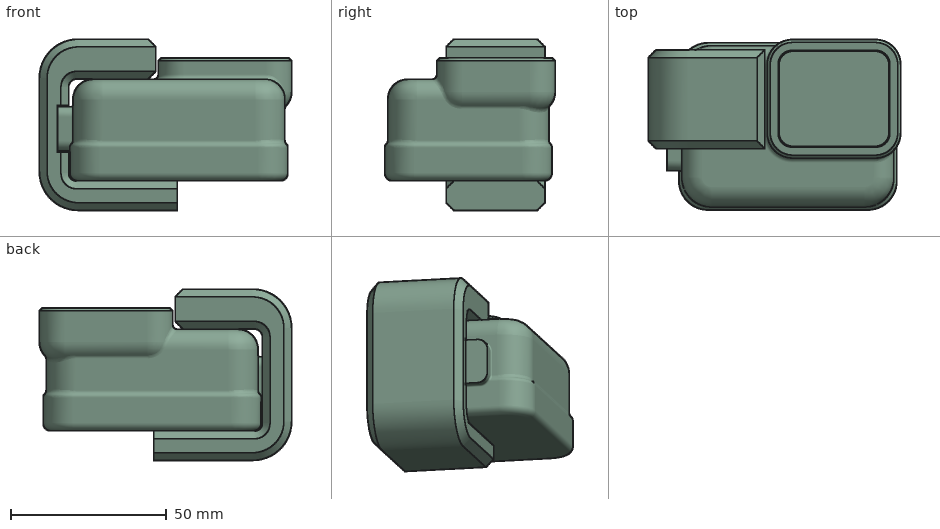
import cadquery as cq

overall_length = 81.1
overall_depth = 54.8

bracket_height = 55.1
bracket_width = 31.8
bracket_front = 19.7
wall_thickness = 9.5
top_arm_thickness = 12.9
top_arm_length = 37.5
bottom_arm_length = 44.35
bracket_outer_radius = 12.6
bracket_inner_radius = 2.5
bracket_chamfer = 2.5

wall_gap = 0.3
rim_length = 70.1
rim_depth = 53.8
rim_height = 12.25
rim_bottom_radius = 2.5
corner_radius = 9.5
blend_radius = 1.5
housing_inset = 1.0
housing_top_radius = 6.5

lens_length = 42.9
lens_depth = 38.1
lens_rise = 6.8
lens_height = 17.35
lens_corner_radius = 8.1
lens_bottom_radius = 6.5
lens_chamfer = 1.0
window_margin = 3.5
window_recess = 0.3

door_depth = 28.55
door_height = 14.2
door_bottom = 19.1
door_corner_radius = 3.2
door_reach = 3.8
door_fillet = 0.5
recess_floor_gap = 0.25
recess_side_gap = 0.5

seam_tolerance = 0.001

camera_bottom = wall_thickness
camera_top = bracket_height - top_arm_thickness
rim_left = wall_thickness + wall_gap
lens_left = overall_length - lens_length
lens_front = overall_depth - lens_depth
lens_top = camera_top + lens_rise
door_left = rim_left - door_reach
door_front = (rim_depth - door_depth) / 2


def block(left, front, bottom, length, depth, height):
    """Box placed by its low corner."""
    return cq.Workplane("XY").box(length, depth, height, centered=False).translate((left, front, bottom))


def door_block(left, length, gap):
    """Rounded bar along X with the door's outline, grown by a gap on every side."""
    bar = block(
        left, door_front - gap, door_bottom - gap,
        length, door_depth + 2 * gap, door_height + 2 * gap,
    )
    return bar.edges("|X").fillet(door_corner_radius + gap)


def join_blended(base, addition, radius):
    """Union of two shapes with a concave fillet along the seam where their surfaces meet."""
    joined = base.union(addition)

    def on_seam(edge):
        point = cq.Vertex.makeVertex(*edge.positionAt(0.5).toTuple())
        return all(
            min(face.distance(point) for face in shape.faces().vals()) < seam_tolerance
            for shape in (base, addition)
        )

    seam = [edge for edge in joined.edges().vals() if on_seam(edge)]
    return joined.newObject(seam).fillet(radius)


def bracket_outline():
    """C-shaped solid with rounded corners and square edges."""
    outer = block(0, bracket_front, 0, bottom_arm_length, bracket_width, bracket_height)
    outer = outer.edges("|Y and <X").fillet(bracket_outer_radius)
    opening = block(
        wall_thickness, bracket_front, wall_thickness,
        bottom_arm_length, bracket_width, camera_top - wall_thickness,
    )
    opening = opening.edges("|Y and <X").fillet(bracket_inner_radius)
    beyond_top_arm = block(
        top_arm_length, bracket_front, camera_top,
        bottom_arm_length, bracket_width, top_arm_thickness,
    )
    return outer.cut(opening).cut(beyond_top_arm)


def make_bracket():
    bracket = bracket_outline()
    side_edges = [
        edge
        for edge in bracket.faces("<Y or >Y").edges().vals()
        if edge.Center().x < top_arm_length - bracket_chamfer
    ]
    top_tip_edges = bracket.faces(">X[-2]").edges("|Y").vals()
    bracket = bracket.newObject(side_edges + top_tip_edges).chamfer(bracket_chamfer)
    return bracket.cut(door_block(door_left - recess_floor_gap, wall_thickness, recess_side_gap))


def make_rim():
    rim = block(rim_left, 0, camera_bottom, rim_length, rim_depth, rim_height)
    rim = rim.edges("|Z").fillet(corner_radius)
    rim = rim.faces("<Z").edges().fillet(rim_bottom_radius)
    return rim.faces(">Z").edges().fillet(blend_radius)


def make_housing():
    """Upper housing, standing inside the rim's outline."""
    housing_bottom = camera_bottom + rim_bottom_radius
    housing = block(
        rim_left + housing_inset, housing_inset, housing_bottom,
        rim_length - 2 * housing_inset, rim_depth - 2 * housing_inset, camera_top - housing_bottom,
    )
    housing = housing.edges("|Z").fillet(corner_radius)
    return housing.faces(">Z").edges().fillet(housing_top_radius)


def make_lens():
    """Lens block, which overhangs the housing at its +X and +Y sides."""
    lens = block(lens_left, lens_front, lens_top - lens_height, lens_length, lens_depth, lens_height)
    lens = lens.edges("|Z").fillet(lens_corner_radius)
    lens = lens.faces("<Z").edges().fillet(lens_bottom_radius)
    return lens.faces(">Z").edges().chamfer(lens_chamfer)


def make_window_recess():
    """Shallow recess in the lens top with 45 degree walls."""
    outline = (
        cq.Sketch()
        .rect(lens_length - 2 * window_margin, lens_depth - 2 * window_margin)
        .vertices()
        .fillet(lens_corner_radius - window_margin)
    )
    lens_center = (lens_left + lens_length / 2, lens_front + lens_depth / 2, lens_top)
    return cq.Workplane("XY", origin=lens_center).placeSketch(outline).extrude(-window_recess, taper=45)


def make_camera():
    camera = join_blended(make_rim(), make_housing(), blend_radius)
    camera = join_blended(camera, make_lens(), blend_radius)
    door = door_block(door_left, door_reach + corner_radius, 0)
    camera = join_blended(camera, door, door_fillet)
    return camera.cut(make_window_recess())


bracket = make_bracket()
camera = make_camera()
result = cq.Compound.makeCompound([bracket.val(), camera.val()])